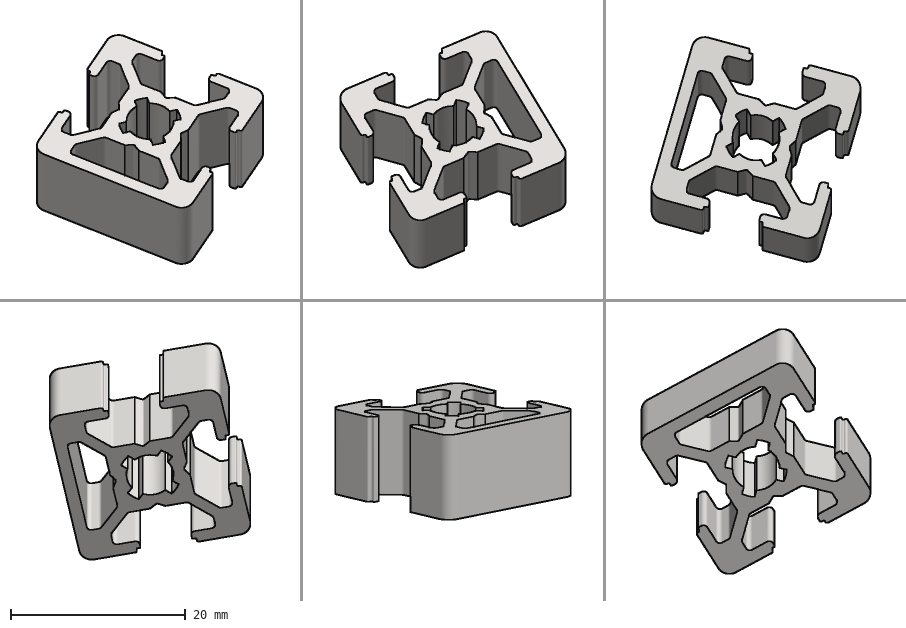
import cadquery as cq

side = 20.0
length = 10.0
corner_radius = 1.5
wall = 1.5

open_slot_count = 3
chamber_half_width = 6.0
chamber_depth = 3.0
chamber_radius = 0.5
mouth_half_width = 3.0
lip_step = 0.5
lip_inner_radius = 0.5
lip_edge_radius = 0.15
lip_outer_radius = 0.25
bend_radius = 0.5

core_half_width = 4.5
groove_half_width = 0.9
groove_depth = 0.55
groove_radius = 0.25

bore_radius = 2.7
keyway_radius = 3.55
keyway_width = 1.5

half_side = side / 2
roof_y = half_side - wall
shoulder_y = half_side - chamber_depth
step_y = half_side - lip_step
step_half_width = mouth_half_width + lip_step
foot_half_width = chamber_half_width - (shoulder_y - core_half_width)

roof_corner = (chamber_half_width, roof_y)
shoulder = (chamber_half_width, shoulder_y)
foot = (foot_half_width, core_half_width)
groove_edge = (groove_half_width, core_half_width)
groove_bottom = (0, core_half_width - groove_depth)
lip_inner_edge = (mouth_half_width, roof_y)
lip_tip_edge = (mouth_half_width, step_y)
step_corner = (step_half_width, step_y)
step_outer_edge = (step_half_width, half_side)


def fillet_at(solid, corner, radius):
    """Round the upright edges through a corner point and its mirror across X = 0."""
    x, y = corner
    for edge_x in {x, -x}:
        nearest = cq.selectors.NearestToPointSelector((edge_x, y, length / 2))
        solid = solid.edges("|Z").edges(nearest).fillet(radius)
    return solid


def symmetric_prism(right_half, middle=()):
    """Extrude an outline given by its right half and any points on the mirror line."""
    left_half = [(-x, y) for x, y in reversed(right_half)]
    outline = [*right_half, *middle, *left_half]
    return cq.Workplane("XY").polyline(outline).close().extrude(length)


def turned(solid, angle):
    """Turn a solid about the Z axis."""
    return solid.rotate((0, 0, 0), (0, 0, 1), angle)


def chamber():
    """Hollow between two diagonal webs, the core and the roof."""
    hollow = symmetric_prism([roof_corner, shoulder, foot, groove_edge], [groove_bottom])
    hollow = fillet_at(hollow, roof_corner, chamber_radius)
    hollow = fillet_at(hollow, shoulder, bend_radius)
    hollow = fillet_at(hollow, foot, bend_radius)
    return fillet_at(hollow, groove_bottom, groove_radius)


def open_slot():
    """Chamber opened to the +Y face through a mouth with stepped lips."""
    mouth = symmetric_prism([step_outer_edge, step_corner, lip_tip_edge, lip_inner_edge])
    mouth = fillet_at(mouth, step_corner, lip_edge_radius)
    slot = chamber().union(mouth)
    slot = fillet_at(slot, lip_tip_edge, lip_edge_radius)
    return fillet_at(slot, lip_inner_edge, lip_inner_radius)


def core_bore():
    """Round bore with four diagonal keyways whose ends lie on a larger circle."""
    bore = cq.Workplane("XY").circle(bore_radius).extrude(length)
    keyways = cq.Workplane("XY").circle(keyway_radius).extrude(length)
    bars = cq.Workplane("XY")
    for angle in (45, 135):
        bar = cq.Workplane("XY").rect(side, keyway_width).extrude(length)
        bars = bars.add(turned(bar, angle))
    return bore.union(keyways.intersect(bars.combine()))


profile = cq.Workplane("XY").rect(side, side).extrude(length)
profile = profile.edges("|Z").fillet(corner_radius)

profile = turned(profile, -90)
for _ in range(open_slot_count):
    profile = profile.cut(open_slot())
    profile = fillet_at(profile, step_outer_edge, lip_outer_radius)
    profile = turned(profile, 90)

profile = profile.cut(chamber())
profile = turned(profile, 180)

result = profile.cut(core_bore())